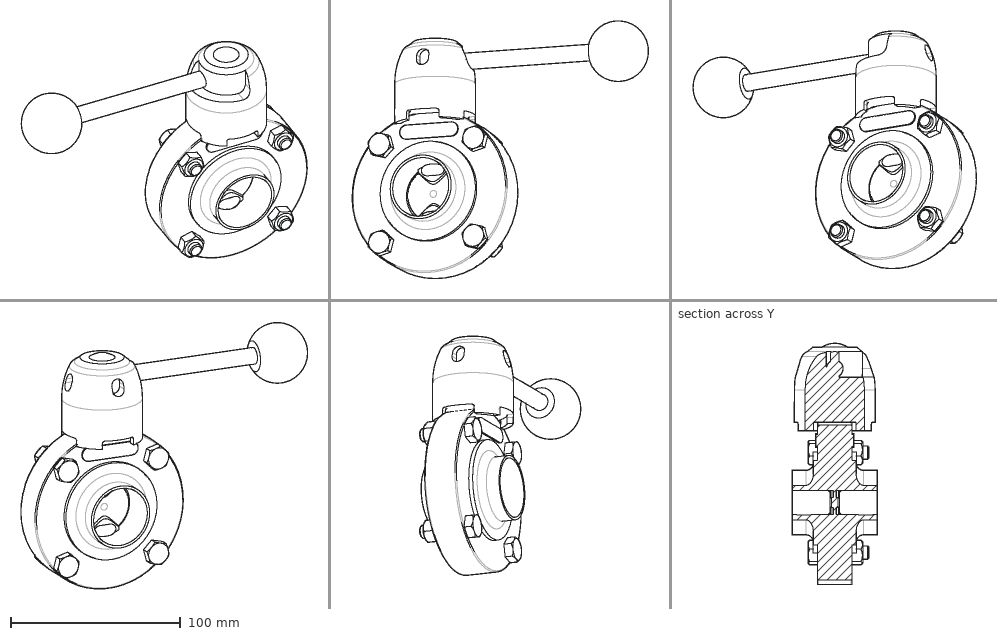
import cadquery as cq
import math


body_length = 50.0
flange_radius = 48.5
flange_thickness = 20.5
flange_edge_round = 0.7
collar_diameter = 59.5
collar_height = 2.5
tube_diameter = 38.1
bore_diameter = 35.0
neck_radius = 4.2
pad_length = 36.3
pad_width = 8.5
pad_height = 1.0
pad_center_z = 36.5

bolt_circle_radius = 41.5
bolt_diameter = 8.0
hex_sides = 6
hex_flats = 13.0
head_height = 5.5
nut_height = 6.5
bolt_tip_x = 20.0
bolt_tip_chamfer = 0.7
hex_chamfer_slope = math.radians(40)
head_face_diameter = 13.0
nut_face_diameter = 12.0

disc_seat_diameter = 32.7
disc_center_diameter = 4.2
disc_center_half = 2.9
disc_rim_half = 2.2
seal_half = 0.9
seal_squeeze = 0.2
bulge_start_z = 10.8
bulge_radius = 8.1
bulge_end_radius = 4.7
shoulder_start_z = 5.6
shoulder_start_radius = 2.5
shoulder_end_z = 13.4
shoulder_end_radius = 10.0
shoulder_half = 4.0

rod_diameter = 10.0
rod_z = 78.8
ball_radius = 17.9
ball_z = 78.4
ball_y = -114.4
ball_flat_y = -99.0

hub_radius = 23.8
hub_bottom_z = 42.1
hub_inner_radius = 20.2
hub_dome_z = 66.3
cap_edge_z = 86.0
cap_edge_radius = 19.3
cap_top_z = 88.7
stem_radius = 16.3
stem_top_z = 91.4
stem_flat_radius = 13.0
button_radius = 7.5
button_height = 2.3
notch_width = 20.2
notch_top_z = 47.1
notch_corner_round = 1.5
detent_width = 7.5

half_flange = flange_thickness / 2
bore_radius = bore_diameter / 2


def x_cylinder(radius, x_start, x_end, z=0):
    """Cylinder along X between two X places."""
    disc = cq.Workplane("YZ", origin=(x_start, 0, z)).circle(radius)
    return disc.extrude(x_end - x_start)


def make_body():
    """Flange, collars, weld ends and slotted pads, with the bore through."""
    half_length = body_length / 2
    tube_radius = tube_diameter / 2
    collar_x = half_flange + collar_height
    body = x_cylinder(flange_radius, -half_flange, half_flange).edges().fillet(flange_edge_round)
    weld_end = (
        cq.Workplane("XY")
        .moveTo(0, 0)
        .lineTo(0, collar_diameter / 2)
        .lineTo(collar_x, collar_diameter / 2)
        .lineTo(collar_x, tube_radius + neck_radius)
        .radiusArc((collar_x + neck_radius, tube_radius), -neck_radius)
        .lineTo(half_length, tube_radius)
        .lineTo(half_length, 0)
        .close()
        .revolve(360, (0, 0, 0), (1, 0, 0))
    )
    pads = (
        cq.Workplane("YZ", origin=(0, 0, pad_center_z))
        .slot2D(pad_length, pad_width)
        .extrude(half_flange + pad_height, both=True)
    )
    body = body.union(weld_end).union(weld_end.mirror("YZ")).union(pads)
    return body.cut(x_cylinder(bore_radius, -half_length, half_length))


def make_disc():
    """Closed disc: shallow cones, a thin seal at the rim and two stem bosses."""
    seat_radius = disc_seat_diameter / 2
    center_radius = disc_center_diameter / 2
    plate = (
        cq.Workplane("XY")
        .moveTo(-disc_center_half, 0)
        .lineTo(-disc_center_half, center_radius)
        .lineTo(-disc_rim_half, seat_radius)
        .lineTo(disc_rim_half, seat_radius)
        .lineTo(disc_center_half, center_radius)
        .lineTo(disc_center_half, 0)
        .close()
        .revolve(360, (0, 0, 0), (1, 0, 0))
    )
    seal = x_cylinder(bore_radius + seal_squeeze, -seal_half, seal_half)
    bulge_middle_z = (bulge_start_z + bore_radius) / 2
    bulge = (
        cq.Workplane("XZ")
        .moveTo(0, bulge_start_z)
        .lineTo(bulge_end_radius, bulge_start_z)
        .threePointArc((bulge_radius, bulge_middle_z), (bulge_end_radius, bore_radius))
        .lineTo(0, bore_radius)
        .close()
        .revolve(360, (0, 0, 0), (0, 1, 0))
    )
    shoulder = (
        cq.Workplane("XZ")
        .moveTo(0, shoulder_start_z)
        .lineTo(shoulder_start_radius, shoulder_start_z)
        .lineTo(shoulder_end_radius, shoulder_end_z)
        .lineTo(shoulder_end_radius, bore_radius)
        .lineTo(0, bore_radius)
        .close()
        .revolve(360, (0, 0, 0), (0, 1, 0))
    )
    shoulder = shoulder.intersect(x_cylinder(bore_radius, -shoulder_half, shoulder_half))
    boss = bulge.union(shoulder)
    bosses = boss.union(boss.mirror("XY"))
    inside_bore = x_cylinder(bore_radius, -bulge_radius, bulge_radius)
    return plate.union(seal).union(bosses.intersect(inside_bore))


def hex_with_chamfer(height, face_diameter):
    """Hexagon standing on X = 0, its far corners turned down to a round face."""
    face_radius = face_diameter / 2
    corner_radius = hex_flats / 2 / math.cos(math.pi / hex_sides)
    drop = (corner_radius - face_radius) * math.tan(hex_chamfer_slope)
    prism = cq.Workplane("YZ").polygon(hex_sides, 2 * corner_radius).extrude(height)
    cone = (
        cq.Workplane("XY")
        .polyline([
            (0, 0),
            (0, corner_radius),
            (height - drop, corner_radius),
            (height, face_radius),
            (height, 0),
        ])
        .close()
        .revolve(360, (0, 0, 0), (1, 0, 0))
    )
    return prism.intersect(cone)


def make_bolts():
    """Four bolts on the diagonals, each with one hexagon flat facing outward."""
    head = hex_with_chamfer(head_height, head_face_diameter).mirror("YZ").translate((-half_flange, 0, 0))
    nut = hex_with_chamfer(nut_height, nut_face_diameter).translate((half_flange, 0, 0))
    shank = x_cylinder(bolt_diameter / 2, -half_flange, bolt_tip_x).faces(">X").chamfer(bolt_tip_chamfer)
    bolt = shank.union(head).union(nut).translate((0, 0, bolt_circle_radius))
    bolts = cq.Workplane("XY")
    for angle in (45, 135, 225, 315):
        bolts = bolts.union(bolt.rotate((0, 0, 0), (1, 0, 0), angle))
    return bolts


def make_hub():
    """Turned hub with a domed cap, open below and notched on its four sides."""
    hub = (
        cq.Workplane("XZ")
        .moveTo(0, notch_top_z)
        .lineTo(hub_inner_radius, notch_top_z)
        .lineTo(hub_inner_radius, hub_bottom_z)
        .lineTo(hub_radius, hub_bottom_z)
        .lineTo(hub_radius, hub_dome_z)
        .tangentArcPoint((cap_edge_radius, cap_edge_z), relative=False)
        .tangentArcPoint((stem_radius, cap_top_z), relative=False)
        .lineTo(0, cap_top_z)
        .close()
        .revolve(360, (0, 0, 0), (0, 1, 0))
    )
    notch_height = notch_top_z - hub_bottom_z
    notch = (
        cq.Workplane("XY", origin=(0, 0, hub_bottom_z))
        .box(2 * hub_radius, notch_width, notch_height, centered=(True, True, False))
        .edges("|X and >Z").fillet(notch_corner_round)
    )
    return hub.cut(notch).cut(notch.rotate((0, 0, 0), (0, 0, 1), 90))


def make_lever_window():
    """Space swept by the lever from -Y to +X, open above and stopped by the stem."""
    rod_radius = rod_diameter / 2
    reach = 2 * hub_radius
    seat_y = cq.Workplane("XZ", origin=(0, 0, rod_z)).circle(rod_radius).extrude(reach)
    seat_x = x_cylinder(rod_radius, 0, reach, z=rod_z)
    sweep = (
        cq.Workplane("XY", origin=(0, -reach, rod_z - rod_radius))
        .box(reach, reach, reach, centered=False)
    )
    above_seats = (
        cq.Workplane("XY", origin=(-rod_radius, rod_radius - reach, rod_z))
        .box(reach, reach, reach, centered=False)
    )
    stem = cq.Workplane("XY").circle(stem_radius).extrude(rod_z + reach)
    return seat_y.union(seat_x).union(sweep).union(above_seats).cut(stem)


def make_detents():
    """Upright slots through the cap on -X and +Y, ending at the stem."""
    slot = (
        cq.Workplane("YZ", origin=(0, 0, rod_z))
        .slot2D(rod_diameter, detent_width, 90)
        .extrude(-hub_radius)
    )
    stem = cq.Workplane("XY").circle(stem_radius).extrude(cap_top_z)
    return slot.union(slot.rotate((0, 0, 0), (0, 0, 1), -90)).cut(stem)


def make_stem_end():
    """Chamfered stem end with a domed button on top."""
    button_top = stem_top_z + button_height
    curve_radius = (button_radius**2 + button_height**2) / (2 * button_height)
    return (
        cq.Workplane("XZ")
        .moveTo(0, hub_dome_z)
        .lineTo(stem_radius, hub_dome_z)
        .lineTo(stem_radius, cap_top_z)
        .lineTo(stem_flat_radius, stem_top_z)
        .lineTo(button_radius, stem_top_z)
        .radiusArc((0, button_top), -curve_radius)
        .close()
        .revolve(360, (0, 0, 0), (0, 1, 0))
    )


def make_lever():
    """Round rod from the stem axis to a ball knob with a flat facing the hub."""
    rod = cq.Workplane("XZ", origin=(0, 0, rod_z)).circle(rod_diameter / 2).extrude(-ball_y)
    ball = cq.Workplane("XY", origin=(0, ball_y, ball_z)).sphere(ball_radius)
    beyond_flat = (
        cq.Workplane("XY", origin=(0, ball_flat_y + ball_radius, ball_z))
        .box(2 * ball_radius, 2 * ball_radius, 2 * ball_radius)
    )
    return rod.union(ball.cut(beyond_flat))


head_unit = make_hub().cut(make_lever_window()).cut(make_detents()).union(make_stem_end())
valve = make_body().union(make_disc()).union(make_bolts())
result = valve.union(head_unit).union(make_lever())